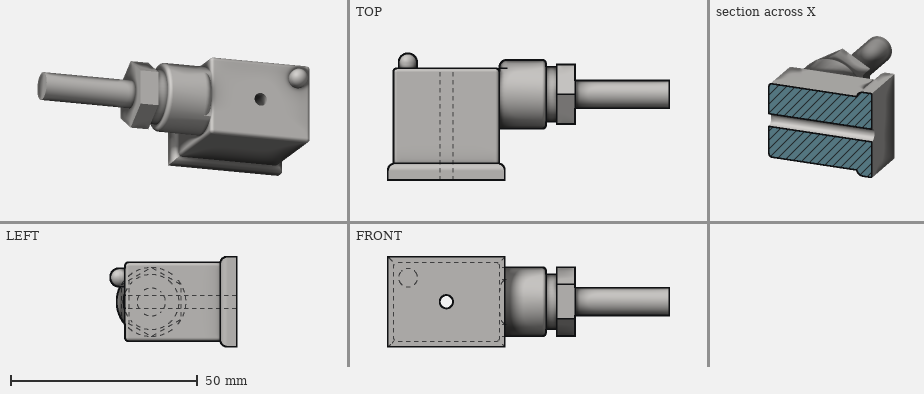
import cadquery as cq
import math

flange_length = 31.4
flange_height = 24.2
flange_thickness = 4.55
flange_round = 2.0

housing_margin = 1.5
housing_back_y = 30.0
housing_round = 1.0

screw_hole_diameter = 3.5

overall_depth = 34.0
dome_radius = 2.5
dome_x = 5.4
dome_z = 6.5

gland_axis_y = 23.0
sleeve_radius = 9.25
sleeve_end_x = 42.4
sleeve_start_round = 2.0
sleeve_end_round = 1.0
neck_radius = 7.4
nut_start_x = 45.2
nut_end_x = 50.2
nut_across_flats = 16.0
cable_radius = 3.75
cable_end_x = 75.4

nut_half_sector = math.radians(30)
flange_center_x = flange_length / 2
housing_length = flange_length - 2 * housing_margin
housing_height = flange_height - 2 * housing_margin
housing_end_x = flange_length - housing_margin
nut_across_corners = nut_across_flats / math.cos(nut_half_sector)


def block(length, height, start_y, end_y):
    """Box centred on the flange in X and Z, spanning start_y to end_y."""
    depth = end_y - start_y
    return (
        cq.Workplane("XY")
        .box(length, depth, height)
        .translate((flange_center_x, start_y + depth / 2, 0))
    )


def gland_plane(start_x):
    """Plane across the gland axis, with local x along Y and local y along Z."""
    return cq.Workplane("YZ", origin=(start_x, gland_axis_y, 0))


def gland_cylinder(radius, start_x, end_x):
    return gland_plane(start_x).circle(radius).extrude(end_x - start_x)


def make_flange():
    plate = block(flange_length, flange_height, 0, flange_thickness)
    return plate.faces(">Y").edges().fillet(flange_round)


def make_housing():
    housing = block(housing_length, housing_height, 0, housing_back_y)
    return housing.edges("|Y or >Y").fillet(housing_round)


def make_dome():
    cap_center_y = overall_depth - dome_radius
    base_y = housing_back_y - housing_round
    stem = (
        cq.Workplane("XZ", origin=(dome_x, base_y, dome_z))
        .circle(dome_radius)
        .extrude(base_y - cap_center_y)
    )
    cap = cq.Workplane("XY").sphere(dome_radius).translate((dome_x, cap_center_y, dome_z))
    return stem.union(cap)


def make_sleeve():
    """Sleeve whose start is rounded only where it stands out behind the housing."""
    plain = gland_cylinder(sleeve_radius, housing_end_x, sleeve_end_x)
    plain = plain.faces(">X").edges().fillet(sleeve_end_round)
    rounded = plain.faces("<X").edges().fillet(sleeve_start_round)
    sleeve_length = sleeve_end_x - housing_end_x
    standing_out_depth = gland_axis_y + sleeve_radius - housing_back_y
    standing_out_side = (
        cq.Workplane("XY", origin=(housing_end_x, housing_back_y, 0))
        .box(sleeve_length, standing_out_depth, 2 * sleeve_radius, centered=(False, False, True))
    )
    return rounded.union(plain.cut(standing_out_side))


def make_nut():
    nut = gland_plane(nut_start_x).polygon(6, nut_across_corners).extrude(nut_end_x - nut_start_x)
    quarter_turn = 90
    axis_start = (0, gland_axis_y, 0)
    axis_end = (1, gland_axis_y, 0)
    return nut.rotate(axis_start, axis_end, quarter_turn)


def make_screw_hole():
    return (
        cq.Workplane("XZ", origin=(flange_center_x, 0, 0))
        .circle(screw_hole_diameter / 2)
        .extrude(-housing_back_y)
    )


result = (
    make_flange()
    .union(make_housing())
    .union(make_dome())
    .union(make_sleeve())
    .union(gland_cylinder(neck_radius, housing_end_x, nut_start_x))
    .union(make_nut())
    .union(gland_cylinder(cable_radius, nut_start_x, cable_end_x))
    .cut(make_screw_hole())
)